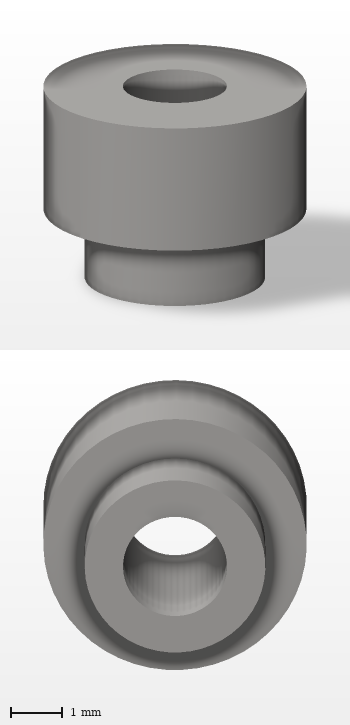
import cadquery as cq

head_diameter = 5.1
spigot_diameter = 3.5
bore_diameter = 2.015
total_height = 3.9
head_height = 2.5
spigot_height = total_height - head_height

spigot = cq.Workplane("XY").circle(spigot_diameter / 2).extrude(spigot_height)
head = (
    cq.Workplane("XY")
    .workplane(offset=spigot_height)
    .circle(head_diameter / 2)
    .extrude(head_height)
)

bore = cq.Workplane("XY").circle(bore_diameter / 2).extrude(total_height)

result = spigot.union(head).cut(bore)